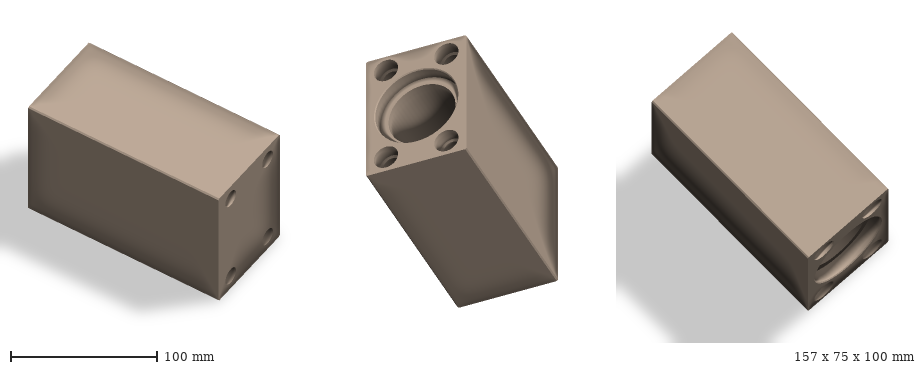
import cadquery as cq

length = 157.0
width = 75.0
height = 100.0
edge_chamfer = 1.0

bore_diameter = 50.0
end_wall = 25.1
bore_depth = length - end_wall
seat_diameter = 61.5
seat_depth = 10.0
seat_chamfer = 0.69

bolt_diameter = 13.0
head_diameter = 18.0
head_depth = 10.4
bolt_spacing_y = 45.0
bolt_spacing_z = 76.0


def make_block():
    """Block centred on Y and Z, from X = 0 to X = length, with its long edges chamfered."""
    block = cq.Workplane("XY").box(length, width, height, centered=(False, True, True))
    return block.edges("|X").chamfer(edge_chamfer)


def cut_bore(body):
    """Cut the stepped blind bore and break its mouth edge."""
    mouth_radius = seat_diameter / 2 + seat_chamfer
    profile = (
        cq.Workplane("XY")
        .moveTo(0, 0)
        .lineTo(0, mouth_radius)
        .lineTo(seat_chamfer, seat_diameter / 2)
        .lineTo(seat_depth, seat_diameter / 2)
        .lineTo(seat_depth, bore_diameter / 2)
        .lineTo(bore_depth, bore_diameter / 2)
        .lineTo(bore_depth, 0)
        .close()
    )
    return body.cut(profile.revolve(360, (0, 0, 0), (1, 0, 0)))


def cut_bolt_holes(body):
    """Cut the through holes, counterbored from the -X face."""
    pattern = cq.Workplane("YZ").rarray(bolt_spacing_y, bolt_spacing_z, 2, 2)
    shanks = pattern.circle(bolt_diameter / 2).extrude(length)
    heads = pattern.circle(head_diameter / 2).extrude(head_depth)
    return body.cut(shanks).cut(heads)


result = cut_bolt_holes(cut_bore(make_block()))